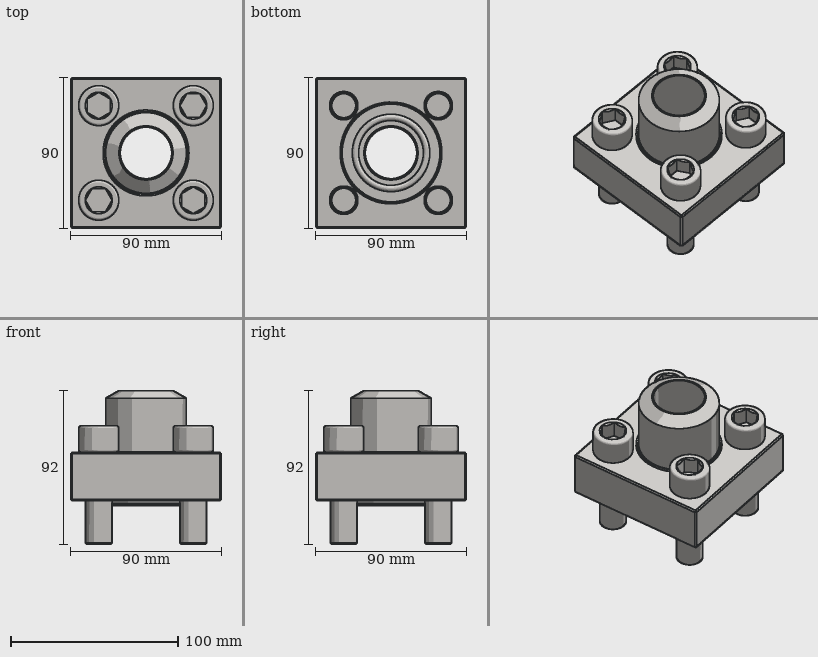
import cadquery as cq
import math

total_height = 92.0
flange_bottom = 26.0
flange_thickness = 29.0
flange_top = flange_bottom + flange_thickness

flange_width = 90.0
flange_chamfer = 0.9
flange_bore_diameter = 49.5
flange_bore_chamfer = 1.0
collar_recess_diameter = 61.0

neck_diameter = 48.3
neck_foot_diameter = 49.0
neck_foot_rise = 0.4
neck_bore_diameter = 30.7
neck_end_diameter = 32.5
weld_bevel_height = 4.5
straight_bore_length = 18.2
bore_foot_diameter = 32.5
collar_diameter = 60.0
collar_height = 10.1
collar_chamfer = 0.7
collar_bottom = 23.8
collar_top = collar_bottom + collar_height

groove_inner_diameter = 38.7
groove_outer_diameter = 46.5
ring_protrusion = 0.6
ring_section_diameter = (groove_outer_diameter - groove_inner_diameter) / 2
ring_mean_diameter = (groove_outer_diameter + groove_inner_diameter) / 2
groove_depth = ring_section_diameter - ring_protrusion

screw_spacing = 56.6
head_diameter = 24.0
head_height = 16.0
head_edge_fillet = 1.6
shank_diameter = 16.0
shank_tip_chamfer = 0.8
screw_hole_diameter = 17.0
socket_width = 14.0
socket_depth = 10.7
socket_corner_diameter = socket_width / math.cos(math.pi / 6)
screw_turns = {(-1, -1): 0, (1, -1): 30, (-1, 1): 30, (1, 1): 0}


def cylinder(diameter, bottom, height):
    return cq.Workplane("XY").workplane(offset=bottom).circle(diameter / 2).extrude(height)


def screw_place(corner):
    side_x, side_y = corner
    return (side_x * screw_spacing / 2, side_y * screw_spacing / 2, 0)


def make_flange():
    flange = cq.Workplane("XY").workplane(offset=flange_bottom).rect(flange_width, flange_width)
    flange = flange.extrude(flange_thickness).edges().chamfer(flange_chamfer)
    flange = flange.cut(cylinder(flange_bore_diameter, flange_bottom, flange_thickness))
    flange = flange.faces(">Z").edges("%CIRCLE").chamfer(flange_bore_chamfer)
    flange = flange.cut(cylinder(collar_recess_diameter, flange_bottom, collar_top - flange_bottom))
    for corner in screw_turns:
        hole = cylinder(screw_hole_diameter, flange_bottom, flange_thickness)
        flange = flange.cut(hole.translate(screw_place(corner)))
    return flange


def make_neck():
    neck_foot_top = flange_top + neck_foot_rise
    outline = [
        (bore_foot_diameter / 2, collar_bottom),
        (collar_diameter / 2 - collar_chamfer, collar_bottom),
        (collar_diameter / 2, collar_bottom + collar_chamfer),
        (collar_diameter / 2, collar_top),
        (neck_foot_diameter / 2, collar_top),
        (neck_foot_diameter / 2, neck_foot_top),
        (neck_diameter / 2, neck_foot_top),
        (neck_diameter / 2, total_height - weld_bevel_height),
        (neck_end_diameter / 2, total_height),
        (neck_bore_diameter / 2, total_height),
        (neck_bore_diameter / 2, total_height - straight_bore_length),
    ]
    neck = cq.Workplane("XZ").polyline(outline).close().revolve(360, (0, 0, 0), (0, 1, 0))
    groove = cylinder(groove_outer_diameter, collar_bottom, groove_depth)
    groove = groove.cut(cylinder(groove_inner_diameter, collar_bottom, groove_depth))
    return neck.cut(groove)


def make_sealing_ring():
    section_center_z = collar_bottom - ring_protrusion + ring_section_diameter / 2
    section = cq.Workplane("XZ").center(ring_mean_diameter / 2, section_center_z)
    section = section.circle(ring_section_diameter / 2)
    return section.revolve(360, (-ring_mean_diameter / 2, 0, 0), (-ring_mean_diameter / 2, 1, 0))


def make_screw(turn):
    head = cylinder(head_diameter, flange_top, head_height)
    head = head.faces(">Z").edges().fillet(head_edge_fillet)
    head = head.faces("<Z").edges().fillet(head_edge_fillet)
    shank = cylinder(shank_diameter, 0, flange_top).faces("<Z").edges().chamfer(shank_tip_chamfer)
    screw = head.union(shank)

    head_top = flange_top + head_height
    socket = cq.Workplane("XY").workplane(offset=head_top).polygon(6, socket_corner_diameter)
    socket = socket.extrude(-socket_depth).rotate((0, 0, 0), (0, 0, 1), turn)
    mouth_radius = socket_corner_diameter / 2
    mouth = cq.Workplane("XZ").moveTo(0, head_top).lineTo(mouth_radius, head_top)
    mouth = mouth.lineTo(0, head_top - mouth_radius).close().revolve(360, (0, 0, 0), (0, 1, 0))
    return screw.cut(socket).cut(mouth)


flange = make_flange()
neck = make_neck()
sealing_ring = make_sealing_ring()
screws = []
for corner, turn in screw_turns.items():
    screws.append(make_screw(turn).translate(screw_place(corner)))

result = cq.Compound.makeCompound(
    [flange.val(), neck.val(), sealing_ring.val(), *[screw.val() for screw in screws]]
)